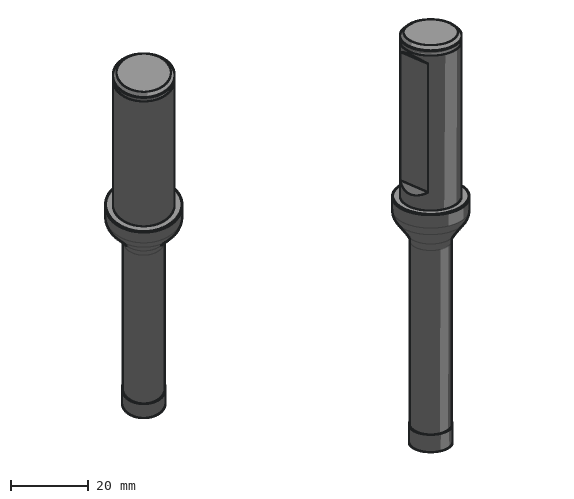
import cadquery as cq
import math

TOTAL_LENGTH = 122.0
POINT_HEIGHT = 1.7
HEAD_TOP = 6.8
COLLAR_BOTTOM = 69.9
COLLAR_TOP = 73.9

HEAD_RADIUS = 11.3 / 2
NECK_RADIUS = 10.9 / 2
COLLAR_RADIUS = 20.0 / 2
SHANK_RADIUS = 16.0 / 2

BLEND_RADIUS = 4.0
CONE_ANGLE = math.radians(35)

COLLAR_CHAMFER = 0.2
SHANK_CHAMFER = 1.0

GROOVE_TOP = TOTAL_LENGTH - 1.2
GROOVE_BOTTOM = TOTAL_LENGTH - 2.6
GROOVE_DEPTH = 0.18

FLAT_OFFSET = 6.3
FLAT_BOTTOM = 79.3
FLAT_TOP = 117.0


def blend_point(angle):
    """Radial and axial travel along a blend arc that starts parallel to the axis."""
    return BLEND_RADIUS * (1 - math.cos(angle)), BLEND_RADIUS * math.sin(angle)


def make_holder_blank():
    """Turned holder: neck, collar and shank."""
    mid_dr, mid_dz = blend_point(CONE_ANGLE / 2)
    end_dr, end_dz = blend_point(CONE_ANGLE)
    cone_dr = COLLAR_RADIUS - NECK_RADIUS - 2 * end_dr
    cone_dz = cone_dr / math.tan(CONE_ANGLE)
    neck_top = COLLAR_BOTTOM - 2 * end_dz - cone_dz
    return (
        cq.Workplane("XZ")
        .moveTo(0, HEAD_TOP)
        .lineTo(NECK_RADIUS, HEAD_TOP)
        .lineTo(NECK_RADIUS, neck_top)
        .threePointArc(
            (NECK_RADIUS + mid_dr, neck_top + mid_dz),
            (NECK_RADIUS + end_dr, neck_top + end_dz),
        )
        .lineTo(COLLAR_RADIUS - end_dr, COLLAR_BOTTOM - end_dz)
        .threePointArc(
            (COLLAR_RADIUS - mid_dr, COLLAR_BOTTOM - mid_dz),
            (COLLAR_RADIUS, COLLAR_BOTTOM),
        )
        .lineTo(COLLAR_RADIUS, COLLAR_TOP - COLLAR_CHAMFER)
        .lineTo(COLLAR_RADIUS - COLLAR_CHAMFER, COLLAR_TOP)
        .lineTo(SHANK_RADIUS, COLLAR_TOP)
        .lineTo(SHANK_RADIUS, GROOVE_BOTTOM)
        .threePointArc(
            (SHANK_RADIUS - GROOVE_DEPTH, (GROOVE_BOTTOM + GROOVE_TOP) / 2),
            (SHANK_RADIUS, GROOVE_TOP),
        )
        .lineTo(SHANK_RADIUS, TOTAL_LENGTH - SHANK_CHAMFER)
        .lineTo(SHANK_RADIUS - SHANK_CHAMFER, TOTAL_LENGTH)
        .lineTo(0, TOTAL_LENGTH)
        .close()
        .revolve(360, (0, 0, 0), (0, 1, 0))
    )


def make_flat_cutter():
    """Prism that removes the clamping flat and its sloping ends."""
    flat_depth = SHANK_RADIUS - FLAT_OFFSET
    return (
        cq.Workplane("YZ")
        .moveTo(FLAT_OFFSET, FLAT_BOTTOM)
        .lineTo(SHANK_RADIUS, FLAT_BOTTOM - flat_depth)
        .lineTo(SHANK_RADIUS, FLAT_TOP + flat_depth)
        .lineTo(FLAT_OFFSET, FLAT_TOP)
        .close()
        .extrude(SHANK_RADIUS, both=True)
    )


def make_holder():
    return make_holder_blank().cut(make_flat_cutter())


def make_drill_head():
    """Cutting head with a conical point, seated against the end of the neck."""
    return (
        cq.Workplane("XZ")
        .lineTo(HEAD_RADIUS, POINT_HEIGHT)
        .lineTo(HEAD_RADIUS, HEAD_TOP)
        .lineTo(0, HEAD_TOP)
        .close()
        .revolve(360, (0, 0, 0), (0, 1, 0))
    )


holder = make_holder()
drill_head = make_drill_head()

result = cq.Compound.makeCompound([holder.val(), drill_head.val()])